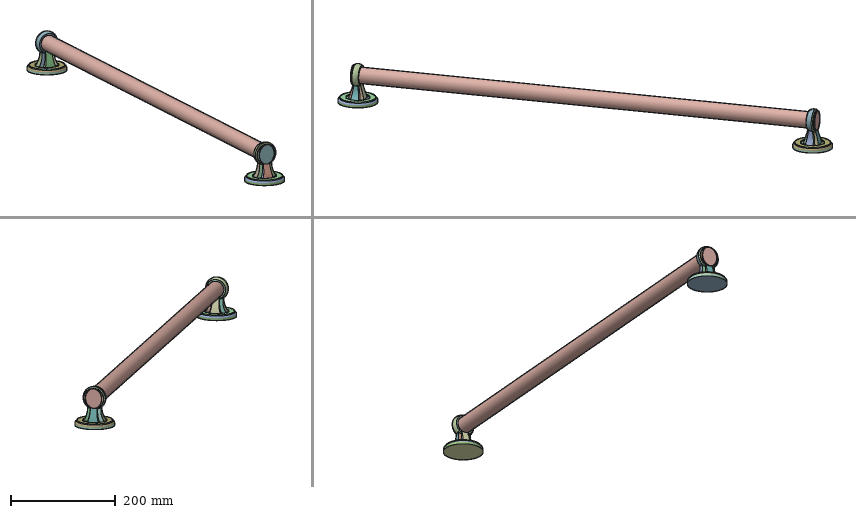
import cadquery as cq
import math

mount_spacing = 914.4
bar_diameter = 31.75
bar_axis_height = 53.975

flange_diameter = 76.2
flange_height = 10.4
flange_rim_height = 4.2
flange_shoulder_radius = 35.0
flange_shoulder_height = 8.3
flange_top_radius = 34.3
recess_radius = 23.0
recess_depth = 2.0

head_diameter = 44.45
head_end_radius = 19.4
head_outer_end = 8.5
head_inner_end = 7.0
outer_step = 6.5
crown_outer_edge = 4.5
crown_peak_offset = 2.0
crown_radius = 15.0
pad_thickness = 1.2
pad_half_width = 15.8
pad_half_height = 19.2

recess_floor = flange_height - recess_depth

post_sections = (
    (recess_floor, 15.0, 22.0),
    (19.0, 12.7, 15.5),
    (28.0, 10.0, 13.4),
    (39.0, 7.0, 13.3),
)
post_arm_fraction = 0.52


def make_flange():
    """Round wall flange with a rounded rim, a small raised step and a shallow recess around the post."""
    return (
        cq.Workplane("XZ")
        .lineTo(flange_diameter / 2, 0)
        .lineTo(flange_diameter / 2, flange_rim_height)
        .tangentArcPoint((flange_shoulder_radius, flange_shoulder_height), relative=False)
        .lineTo(flange_top_radius, flange_height)
        .lineTo(recess_radius, flange_height)
        .lineTo(recess_radius, recess_floor)
        .lineTo(0, recess_floor)
        .close()
        .revolve(360, (0, 0), (0, 1))
    )


def post_outline(height, half_length, half_width):
    """Plus-shaped outline, a rectangle with notched corners, lying level at the given height."""
    arm_x = half_length * post_arm_fraction
    arm_y = half_width * post_arm_fraction
    points = [
        (half_length, -arm_y),
        (half_length, arm_y),
        (arm_x, arm_y),
        (arm_x, half_width),
        (-arm_x, half_width),
        (-arm_x, arm_y),
        (-half_length, arm_y),
        (-half_length, -arm_y),
        (-arm_x, -arm_y),
        (-arm_x, -half_width),
        (arm_x, -half_width),
        (arm_x, -arm_y),
    ]
    return cq.Wire.makePolygon([cq.Vector(x, y, height) for x, y in points], close=True)


def make_post():
    """Plus-shaped post that sweeps from a wide foot up to a slim neck inside the head."""
    outlines = [post_outline(*section) for section in post_sections]
    return cq.Workplane(cq.Solid.makeLoft(outlines))


def crown_height(x):
    """Distance from the bar axis to the crown arc at a position along the head."""
    drop = crown_radius - math.sqrt(crown_radius**2 - (x + crown_peak_offset) ** 2)
    return head_diameter / 2 - drop


def make_head():
    """Drum on the bar axis with a crowned rim and an oval pad on its outer (-X) face."""
    crown_peak = (-crown_peak_offset, head_diameter / 2)
    drum = (
        cq.Workplane("XY")
        .moveTo(-head_outer_end, 0)
        .lineTo(-head_outer_end, head_end_radius)
        .lineTo(-outer_step, head_end_radius)
        .lineTo(-crown_outer_edge, crown_height(-crown_outer_edge))
        .threePointArc(crown_peak, (head_inner_end, crown_height(head_inner_end)))
        .lineTo(head_inner_end, 0)
        .close()
        .revolve(360, (0, 0), (1, 0))
    )
    pad = (
        cq.Workplane("YZ")
        .workplane(offset=-head_outer_end)
        .ellipse(pad_half_width, pad_half_height)
        .extrude(-pad_thickness)
    )
    return drum.union(pad).translate((0, 0, bar_axis_height))


def make_bar():
    """Straight round bar joining the two heads."""
    return (
        cq.Workplane("YZ")
        .center(0, bar_axis_height)
        .circle(bar_diameter / 2)
        .extrude(mount_spacing / 2, both=True)
    )


left_mount = (
    make_flange()
    .union(make_post())
    .union(make_head())
    .translate((-mount_spacing / 2, 0, 0))
)

result = make_bar().union(left_mount).union(left_mount.mirror("YZ"))